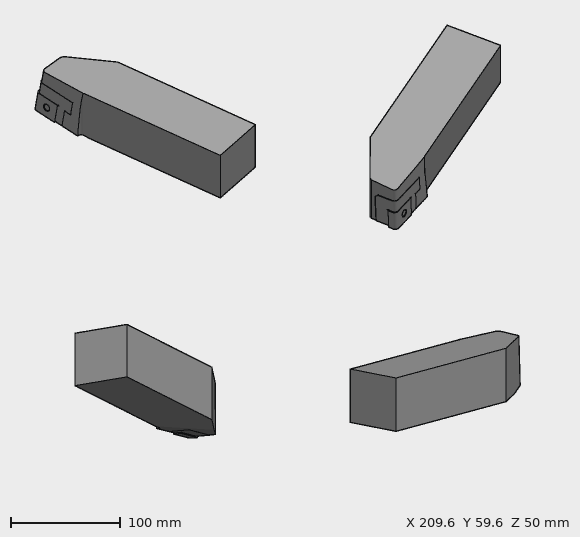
import cadquery as cq
import math

LENGTH = 209.6
SHANK_WIDTH = 55.0
HEIGHT = 50.0
SHOULDER_X = 52.8
SHOULDER_PROUD = 4.6
SHOULDER_RADIUS = 4.2
TAPER_START_X = 55.0
TAPER_SLOPE = 0.5
TAPER_CHAMFER = 1.9

NOSE_X, NOSE_Y, NOSE_Z = -0.34, -0.2, 5.2
TILT_X, TILT_Y = 0.1, 0.09
TURN = 0.096
CORNER_RADIUS = 4.0

INSERT_LENGTH = 25.8
INSERT_DEPTH = 8.5
INSERT_HEIGHT = 20.0
EDGE_LAND = 1.0
EDGE_DROP = 0.2
RECESS_DIAMETER = 6.3
RECESS_RIM_DIAMETER = 7.3
RECESS_DEPTH = 0.5
RECESS_U, RECESS_W = 14.3, 10.0

CARTRIDGE_END_INSET = 1.3
CARTRIDGE_FRONT_INSET = 0.5
LIP_WIDTH = 1.7
CARTRIDGE_LENGTH = 41.7
CARTRIDGE_STEM = 34.4
CARTRIDGE_TOP = 32.7
ARM_BOTTOM = 18.7
CARTRIDGE_BACK = 23.0
CARTRIDGE_CHAMFER = 3.1

HEAD_END_INSET = 1.9
HEAD_FRONT_INSET = 0.5
HEAD_BOTTOM = 1.0
REACH = 2 * LENGTH

TOOL_PLANE = cq.Plane(
    origin=(NOSE_X, NOSE_Y, NOSE_Z),
    xDir=(1, -TURN, TILT_Y * TURN - TILT_X),
    normal=(TILT_X, TILT_Y, 1),
)


def rounded_block(end_u, front_v, bottom_w, far_u, back_v, top_w):
    """Block in the tool frame with its leading upright corner rounded."""
    block = cq.Workplane("XY").box(far_u - end_u, back_v - front_v, top_w - bottom_w, centered=False)
    block = block.edges("|Z and <X and <Y").fillet(CORNER_RADIUS)
    return block.translate((end_u, front_v, bottom_w))


def to_tool(local):
    """Move a shape from the tool frame to its place on the tool."""
    return cq.Workplane("XY").add(local.val().moved(cq.Location(TOOL_PLANE)))


def make_insert():
    arc_middle = CORNER_RADIUS * (1 - math.sqrt(0.5))
    body = (
        cq.Workplane("XY")
        .moveTo(0, CORNER_RADIUS)
        .threePointArc((arc_middle, arc_middle), (CORNER_RADIUS, 0))
        .lineTo(CORNER_RADIUS + EDGE_LAND, EDGE_DROP)
        .lineTo(INSERT_LENGTH, EDGE_DROP)
        .lineTo(INSERT_LENGTH, INSERT_DEPTH)
        .lineTo(EDGE_DROP, INSERT_DEPTH)
        .lineTo(EDGE_DROP, CORNER_RADIUS + EDGE_LAND)
        .close()
        .extrude(INSERT_HEIGHT)
    )
    land = (
        cq.Workplane("YZ", origin=(CORNER_RADIUS, 0, 0))
        .polyline([(0, 0), (EDGE_DROP, EDGE_LAND), (EDGE_DROP, 0)])
        .close()
        .extrude(INSERT_LENGTH - CORNER_RADIUS)
    )
    rim = RECESS_RIM_DIAMETER / 2
    floor = RECESS_DIAMETER / 2
    recess = cq.Solid.makeCone(
        rim, floor, RECESS_DEPTH, cq.Vector(RECESS_U, EDGE_DROP, RECESS_W), cq.Vector(0, 1, 0)
    )
    return body.union(land).cut(cq.Workplane("XY").add(recess))


def lip_arc_middle(rise):
    """Point halfway along a hollow arc, as (distance from the insert, height above the face).

    The arc is tangent to the cartridge face at LIP_WIDTH and reaches rise at the insert.
    """
    radius = (LIP_WIDTH**2 + rise**2) / (2 * rise)
    half_angle = math.asin(LIP_WIDTH / radius) / 2
    return LIP_WIDTH - radius * math.sin(half_angle), radius * (1 - math.cos(half_angle))


def make_lips():
    front_rise = CARTRIDGE_FRONT_INSET - EDGE_DROP
    along, height = lip_arc_middle(front_rise)
    front_lip = (
        cq.Workplane("XY", origin=(0, 0, HEAD_BOTTOM))
        .moveTo(INSERT_LENGTH, EDGE_DROP)
        .threePointArc(
            (INSERT_LENGTH + along, CARTRIDGE_FRONT_INSET - height),
            (INSERT_LENGTH + LIP_WIDTH, CARTRIDGE_FRONT_INSET),
        )
        .lineTo(INSERT_LENGTH + LIP_WIDTH, INSERT_DEPTH)
        .lineTo(INSERT_LENGTH, INSERT_DEPTH)
        .close()
        .extrude(INSERT_HEIGHT - HEAD_BOTTOM)
    )
    end_rise = CARTRIDGE_END_INSET - EDGE_DROP
    along, height = lip_arc_middle(end_rise)
    end_lip = (
        cq.Workplane("XY", origin=(0, 0, HEAD_BOTTOM))
        .moveTo(EDGE_DROP, INSERT_DEPTH)
        .threePointArc(
            (CARTRIDGE_END_INSET - height, INSERT_DEPTH + along),
            (CARTRIDGE_END_INSET, INSERT_DEPTH + LIP_WIDTH),
        )
        .lineTo(INSERT_LENGTH, INSERT_DEPTH + LIP_WIDTH)
        .lineTo(INSERT_LENGTH, INSERT_DEPTH)
        .close()
        .extrude(INSERT_HEIGHT - HEAD_BOTTOM)
    )
    return front_lip.union(end_lip)


def make_insert_pocket():
    """Room for the insert, open at the end, the front and the bottom."""
    return cq.Workplane("XY").box(INSERT_LENGTH, INSERT_DEPTH, INSERT_HEIGHT, centered=False)


def make_cartridge_pocket():
    """Room for the cartridge, open at the end, the front and the bottom."""
    arm = cq.Workplane("XY").box(
        CARTRIDGE_LENGTH, CARTRIDGE_BACK, CARTRIDGE_TOP - ARM_BOTTOM, centered=False
    ).translate((0, 0, ARM_BOTTOM))
    stem = cq.Workplane("XY").box(CARTRIDGE_STEM, CARTRIDGE_BACK, ARM_BOTTOM, centered=False)
    return stem.union(arm).edges("|X and >Y and >Z").chamfer(CARTRIDGE_CHAMFER)


def make_cartridge():
    """The cartridge fills its pocket up to its own outer faces."""
    limits = rounded_block(
        CARTRIDGE_END_INSET, CARTRIDGE_FRONT_INSET, HEAD_BOTTOM, REACH, REACH, REACH
    )
    body = make_cartridge_pocket().intersect(limits)
    return body.cut(make_insert_pocket()).union(make_lips())


def make_holder():
    taper_end_y = SHANK_WIDTH - TAPER_SLOPE * TAPER_START_X
    arc_offset = SHOULDER_RADIUS * math.sqrt(0.5)
    arc_centre_x = SHOULDER_X + SHOULDER_RADIUS
    blank = (
        cq.Workplane("XY")
        .moveTo(0, -SHOULDER_PROUD)
        .lineTo(SHOULDER_X, -SHOULDER_PROUD)
        .lineTo(SHOULDER_X, -SHOULDER_RADIUS)
        .threePointArc(
            (arc_centre_x - arc_offset, arc_offset - SHOULDER_RADIUS), (arc_centre_x, 0)
        )
        .lineTo(LENGTH, 0)
        .lineTo(LENGTH, SHANK_WIDTH)
        .lineTo(TAPER_START_X, SHANK_WIDTH)
        .lineTo(0, taper_end_y)
        .close()
        .extrude(HEIGHT)
    )
    limits = rounded_block(HEAD_END_INSET, HEAD_FRONT_INSET, HEAD_BOTTOM, REACH, REACH, REACH)
    holder = blank.intersect(to_tool(limits))
    end_edge_near = (HEAD_END_INSET, taper_end_y, HEIGHT / 2)
    holder = holder.edges(cq.selectors.NearestToPointSelector(end_edge_near)).chamfer(TAPER_CHAMFER)
    return holder.cut(to_tool(make_cartridge_pocket()))


insert = to_tool(make_insert())
cartridge = to_tool(make_cartridge())
holder = make_holder()

result = cq.Compound.makeCompound([
    holder.solids().val(),
    cartridge.solids().val(),
    insert.solids().val(),
])